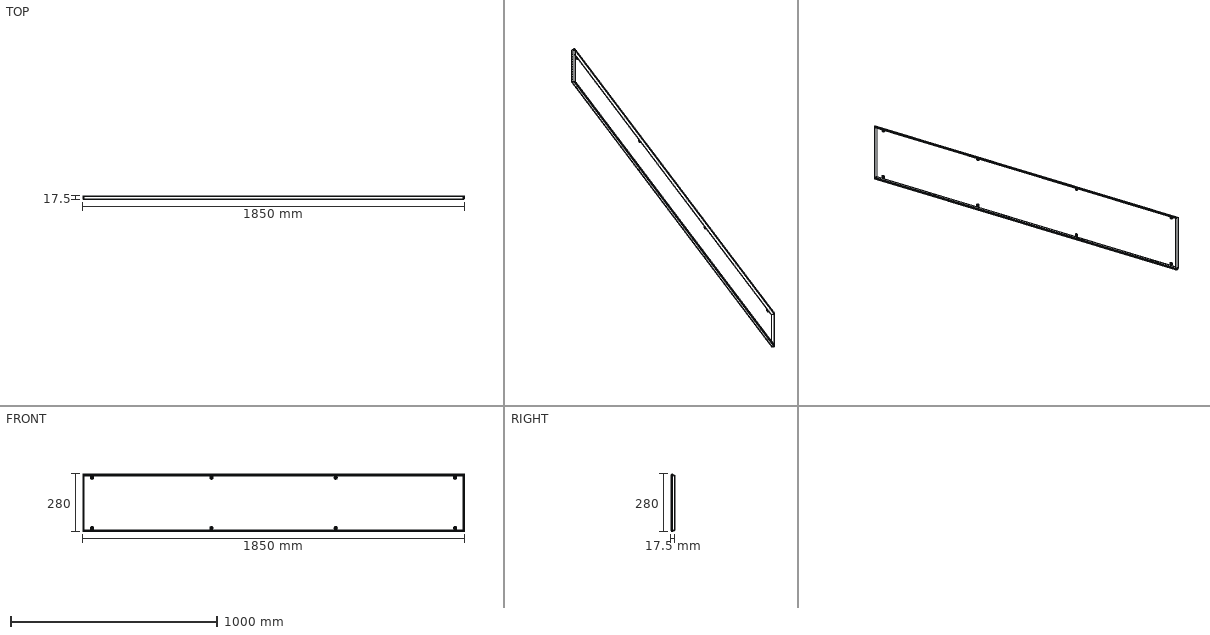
import cadquery as cq

length = 1850.0
thickness = 17.5
height = 280.0

crest_depth = 3.3
crest_width = 1.0
front_slope_drop = 4.6
back_slope_drop = 7.5
rim_land = 1.0
rim_bevel = 2.8

end_wall = 5.7
end_bevel_depth = 5.2

back_sheet = 1.5

hole_radius = 2.8
seat_radius = 7.0
seat_depth = 0.5
hole_x_outer = 880.0
hole_x_inner = 302.0
hole_z = 122.0

front_y = -thickness / 2
back_y = thickness / 2
floor_y = back_y - back_sheet
crest_y = front_y + crest_depth
crest_z = height / 2
rim_z = crest_z - front_slope_drop - rim_land
recess_z = rim_z - rim_bevel
recess_length = length - 2 * end_wall


def long_prism(upper_outline, prism_length):
    """Prism along X whose (y, z) section mirrors the given upper outline below z = 0."""
    lower_outline = [(y, -z) for y, z in reversed(upper_outline)]
    section = cq.Workplane("YZ").polyline(upper_outline + lower_outline).close()
    return section.extrude(prism_length / 2, both=True)


def outer_body():
    outline = [
        (front_y, crest_z - front_slope_drop),
        (crest_y, crest_z),
        (crest_y + crest_width, crest_z),
        (back_y, crest_z - back_slope_drop),
    ]
    return long_prism(outline, length)


def end_bevel(side):
    """Wedge that bevels the front of one end wall; side is -1 or +1 along X."""
    outer_x = side * length / 2
    inner_x = side * recess_length / 2
    bevel_y = front_y + end_bevel_depth
    wedge = cq.Workplane("XY").polyline([(outer_x, front_y), (outer_x, bevel_y), (inner_x, front_y)])
    return wedge.close().extrude(height, both=True)


def recess():
    outline = [
        (front_y, rim_z),
        (front_y + rim_bevel, recess_z),
        (floor_y, recess_z),
    ]
    return long_prism(outline, recess_length)


def seated_holes():
    """Eight through holes in the back sheet, each with its seat sunk into the recess floor."""
    columns = (-hole_x_outer, -hole_x_inner, hole_x_inner, hole_x_outer)
    centers = [(x, z) for x in columns for z in (-hole_z, hole_z)]
    floor = cq.Workplane("XZ", origin=(0, floor_y, 0)).pushPoints(centers)
    seats = floor.circle(seat_radius).extrude(-seat_depth)
    holes = floor.circle(hole_radius).extrude(-back_sheet)
    return seats.union(holes)


body = outer_body()
for side in (-1, 1):
    body = body.cut(end_bevel(side))

result = body.cut(recess()).cut(seated_holes())